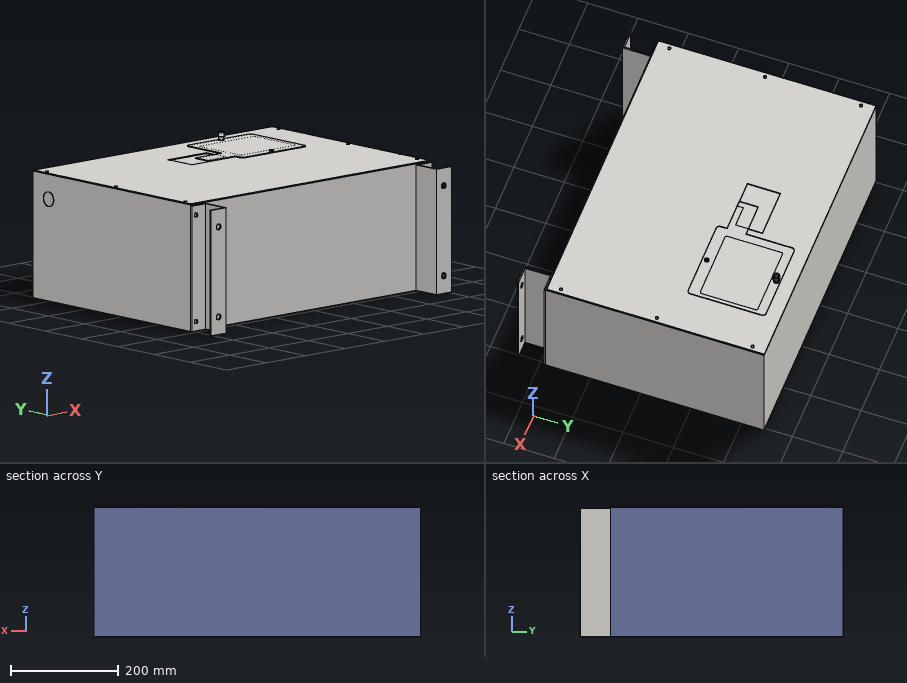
import cadquery as cq


overall_width = 609.6
overall_depth = 490.86
overall_height = 261.39

bracket_thickness = 3.0
bracket_height = 239.4
bracket_reach = 56.5
bracket_flange_width = 38.1
case_hole_diameter = 8.0
case_hole_inset = 11.1
case_hole_end_distance = 18.3
mounting_hole_diameter = 11.1
mounting_hole_inset = 19.05
mounting_hole_spacing = 171.45

case_width = overall_width
case_depth = overall_depth - bracket_reach
case_height = 241.3
side_recess_diameter = 27.8
side_recess_depth = 1.0
side_recess_from_back = 42.3
side_recess_height = 194.0

lid_thickness = 1.9
lid_inset = 1.5
lid_corner_radius = 4
lid_hole_diameter = 5.6
lid_hole_inset = 11.1
lid_hole_pitch = 190.5
lid_width = case_width - 2 * lid_inset
lid_depth = case_depth - lid_inset
lid_center_y = lid_inset + lid_depth / 2
lid_top = case_height + lid_thickness

door_thickness = 1.6
door_width = 164
door_depth = 154.8
door_center_x = 139.5
door_center_y = 328.3
door_corner_radius = 6.4
tab_length = 66
tab_depth = 37.6
tab_from_door_front = 19.4
door_left = door_center_x - door_width / 2
door_front = door_center_y - door_depth / 2
door_back = door_center_y + door_depth / 2
tab_front = door_front + tab_from_door_front
door_top = lid_top + door_thickness

door_opening_width = 139.7
door_opening_depth = 114.3
door_opening_radius = 3.6
door_opening_shift_x = 4
door_opening_shift_y = 2
tab_opening_width = 96.8
tab_opening_depth = 65.3
tab_opening_left = -52.8
tab_opening_notch_width = 42.0
tab_opening_notch_depth = 12.0

fastener_x = door_center_x
knob_diameter = 13.2
knob_waist_diameter = 10.4
knob_rim_height = 1.0
knob_dish_diameter = 9.6
knob_dish_floor_diameter = 4.8
knob_dish_depth = 1.0
knob_neck_diameter = 10.0
knob_neck_height = 7.2
knob_collar_diameter = 11.0
knob_collar_height = 1.5
knob_shank_diameter = 6.0
knob_from_door_back = 7.6
thumbscrew_y = door_back - knob_from_door_back
rivet_diameter = 8.5
rivet_height = 1.8
rivet_bore_diameter = 4.6
rivet_from_door_front = 9.0


def plate(width, depth, thickness, center_x, center_y, bottom):
    """Rectangular plate centred in X and Y, standing on the given Z."""
    return (
        cq.Workplane("XY", origin=(center_x, center_y, bottom))
        .rect(width, depth)
        .extrude(thickness)
    )


def disc(diameter, height, x, y, bottom):
    """Upright cylinder standing on the given Z."""
    return cq.Workplane("XY", origin=(x, y, bottom)).circle(diameter / 2).extrude(height)


def make_case():
    """Solid box with a shallow round recess on the -X side."""
    body = plate(case_width, case_depth, case_height, 0, case_depth / 2, 0)
    recess = (
        cq.Workplane("YZ", origin=(-case_width / 2, case_depth - side_recess_from_back, side_recess_height))
        .circle(side_recess_diameter / 2)
        .extrude(side_recess_depth)
    )
    return body.cut(recess)


def make_lid():
    """Sheet with six screw holes, two openings and the thumbscrew hole."""
    sheet = plate(lid_width, lid_depth, lid_thickness, 0, lid_center_y, case_height)
    sheet = sheet.edges("|Z and <Y").fillet(lid_corner_radius)

    screw_x = case_width / 2 - lid_hole_inset
    screw_points = []
    for side in (-1, 1):
        for row in (-1, 0, 1):
            screw_points.append((side * screw_x, case_depth / 2 + row * lid_hole_pitch))
    screw_holes = (
        cq.Workplane("XY", origin=(0, 0, case_height))
        .pushPoints(screw_points)
        .circle(lid_hole_diameter / 2)
        .extrude(lid_thickness)
    )

    door_opening = plate(
        door_opening_width,
        door_opening_depth,
        lid_thickness,
        door_center_x + door_opening_shift_x,
        door_center_y + door_opening_shift_y,
        case_height,
    )
    door_opening = door_opening.edges("|Z").fillet(door_opening_radius)

    tab_opening = plate(
        tab_opening_width,
        tab_opening_depth,
        lid_thickness,
        tab_opening_left + tab_opening_width / 2,
        tab_front + tab_opening_depth / 2,
        case_height,
    )
    notch = plate(
        tab_opening_notch_width,
        tab_opening_notch_depth,
        lid_thickness,
        tab_opening_left + tab_opening_width - tab_opening_notch_width / 2,
        tab_front + tab_opening_notch_depth / 2,
        case_height,
    )
    tab_opening = tab_opening.cut(notch)

    shank_hole = disc(knob_shank_diameter, lid_thickness, fastener_x, thumbscrew_y, case_height)
    return sheet.cut(screw_holes).cut(door_opening).cut(tab_opening).cut(shank_hole)


def make_door():
    """Rounded panel with a side tab, a hollow rivet and the thumbscrew hole."""
    panel = plate(door_width, door_depth, door_thickness, door_center_x, door_center_y, lid_top)
    panel = panel.edges("|Z").fillet(door_corner_radius)
    tab_overlap = door_corner_radius
    tab = plate(
        tab_length + tab_overlap,
        tab_depth,
        door_thickness,
        door_left + (tab_overlap - tab_length) / 2,
        tab_front + tab_depth / 2,
        lid_top,
    )
    rivet_y = door_front + rivet_from_door_front
    rivet = disc(rivet_diameter, rivet_height, fastener_x, rivet_y, door_top)
    rivet = rivet.cut(disc(rivet_bore_diameter, rivet_height, fastener_x, rivet_y, door_top))
    shank_hole = disc(knob_shank_diameter, door_thickness, fastener_x, thumbscrew_y, lid_top)
    return panel.union(tab).union(rivet).cut(shank_hole)


def make_thumbscrew():
    """Spool-shaped knob with a dished top, on a neck, a collar and a shank."""
    knob_radius = knob_diameter / 2
    collar_top = door_top + knob_collar_height
    knob_bottom = door_top + knob_neck_height
    waist_bottom = knob_bottom + knob_rim_height
    waist_top = overall_height - knob_rim_height
    half_profile = (
        cq.Workplane("XZ", origin=(fastener_x, thumbscrew_y, 0))
        .moveTo(0, case_height)
        .lineTo(knob_shank_diameter / 2, case_height)
        .lineTo(knob_shank_diameter / 2, door_top)
        .lineTo(knob_collar_diameter / 2, door_top)
        .lineTo(knob_collar_diameter / 2, collar_top)
        .lineTo(knob_neck_diameter / 2, collar_top)
        .lineTo(knob_neck_diameter / 2, knob_bottom)
        .lineTo(knob_radius, knob_bottom)
        .lineTo(knob_radius, waist_bottom)
        .threePointArc(
            (knob_waist_diameter / 2, (waist_bottom + waist_top) / 2),
            (knob_radius, waist_top),
        )
        .lineTo(knob_radius, overall_height)
        .lineTo(knob_dish_diameter / 2, overall_height)
        .lineTo(knob_dish_floor_diameter / 2, overall_height - knob_dish_depth)
        .lineTo(0, overall_height - knob_dish_depth)
        .close()
    )
    return half_profile.revolve(360, (0, 0, 0), (0, 1, 0))


def make_bracket(side):
    """Z-shaped bracket; side is -1 at -X and +1 at +X."""
    outer = side * overall_width / 2
    web_inner = side * (overall_width / 2 - bracket_flange_width)
    web_outer = web_inner + side * bracket_thickness
    profile = [
        (outer, 0),
        (web_inner, 0),
        (web_inner, -bracket_reach),
        (outer, -bracket_reach),
        (outer, bracket_thickness - bracket_reach),
        (web_outer, bracket_thickness - bracket_reach),
        (web_outer, -bracket_thickness),
        (outer, -bracket_thickness),
    ]
    body = cq.Workplane("XY").polyline(profile).close().extrude(bracket_height)

    def flange_holes(diameter, inset, spacing, front_y):
        x = side * (overall_width / 2 - inset)
        points = [(x, bracket_height / 2 + end * spacing / 2) for end in (-1, 1)]
        return (
            cq.Workplane("XZ", origin=(0, front_y + bracket_thickness, 0))
            .pushPoints(points)
            .circle(diameter / 2)
            .extrude(bracket_thickness)
        )

    case_hole_spacing = bracket_height - 2 * case_hole_end_distance
    case_holes = flange_holes(case_hole_diameter, case_hole_inset, case_hole_spacing, -bracket_thickness)
    mounting_holes = flange_holes(
        mounting_hole_diameter, mounting_hole_inset, mounting_hole_spacing, -bracket_reach
    )
    return body.cut(case_holes).cut(mounting_holes)


case = make_case()
lid = make_lid()
door = make_door()
thumbscrew = make_thumbscrew()
brackets = [make_bracket(side) for side in (-1, 1)]

result = cq.Compound.makeCompound(
    [case.val(), lid.val(), door.val(), thumbscrew.val(), *[bracket.val() for bracket in brackets]]
)